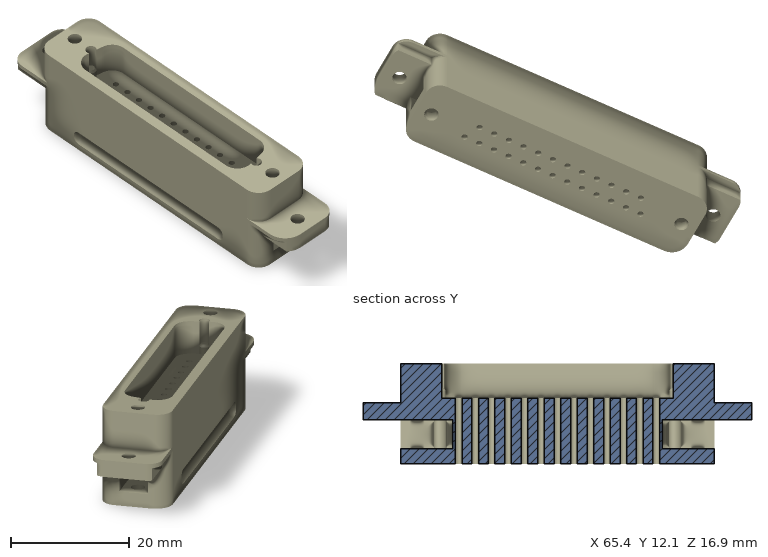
import cadquery as cq
import math

length = 65.4
depth = 12.05
height = 16.9
body_length = 52.75

corner_radius = 2.6
upper_front_right_radius = 2.8
lower_front_left_radius = 3.0
flange_front_left_radius = 2.5
flange_front_right_radius = 3.65

flange_top = 10.35
plate_thickness = 0.8
plate_bottom = flange_top - plate_thickness
lip_bottom = 7.3
lip_width = 9.55

socket_depth = 5.8
socket_floor = height - socket_depth
socket_width = 8.45
socket_mid_half_length = 19.25
socket_side_angle = 10.0
socket_corner_radius = 2.7

front_row_length = 33.25
row_spacing = 2.8
contact_diameter = 1.05
back_row_count = 12
front_row_count = 13
contact_pitch = front_row_length / (front_row_count - 1)

screw_hole_diameter = 2.4
body_hole_x = 23.6
flange_hole_x = 29.65

post_x = 19.75
post_diameter = 2.1
notch_diameter = 1.9
post_shoulder_height = 1.3
post_tip_height = 0.4
post_tip_diameter = 1.25

recess_width = 5.05
recess_bottom = 2.55
recess_top = lip_bottom

groove_length = 35.6
groove_height = 2.6
groove_center_z = 2.55
groove_depth = 1.0
groove_corner_radius = 1.2
groove_floor_fillet = 0.85


def cylinder(x, y, diameter, bottom, top):
    """Upright cylinder between two heights."""
    return cq.Workplane("XY", origin=(x, y, bottom)).circle(diameter / 2).extrude(top - bottom)


def rounded_block(block_length, bottom, top, front_left=corner_radius, front_right=corner_radius):
    """Full-depth block with rounded upright corners; the front corners may differ."""
    block = cq.Workplane("XY", origin=(0, 0, bottom)).rect(block_length, depth).extrude(top - bottom)
    block = block.edges("|Z and >Y").fillet(corner_radius)
    block = block.edges("|Z and <Y and <X").fillet(front_left)
    return block.edges("|Z and <Y and >X").fillet(front_right)


def flange_outline(bottom, top):
    return rounded_block(length, bottom, top, flange_front_left_radius, flange_front_right_radius)


def make_housing():
    lower = rounded_block(body_length, 0, flange_top, front_left=lower_front_left_radius)
    upper = rounded_block(body_length, plate_bottom, height, front_right=upper_front_right_radius)
    plate = flange_outline(plate_bottom, flange_top)
    lip_strip = cq.Workplane("XY", origin=(0, 0, lip_bottom)).rect(length, lip_width)
    lip = flange_outline(lip_bottom, flange_top).intersect(lip_strip.extrude(flange_top - lip_bottom))
    return lower.union(upper).union(plate).union(lip)


def make_socket():
    half_width = socket_width / 2
    side_shift = half_width * math.tan(math.radians(socket_side_angle))
    front_x = socket_mid_half_length + side_shift
    back_x = socket_mid_half_length - side_shift
    corners = [(-front_x, -half_width), (front_x, -half_width), (back_x, half_width), (-back_x, half_width)]
    outline = cq.Workplane("XY", origin=(0, 0, socket_floor)).polyline(corners).close()
    return outline.extrude(socket_depth).edges("|Z").fillet(socket_corner_radius)


def make_contact_holes():
    holes = cq.Workplane("XY")
    for y, count in ((row_spacing / 2, back_row_count), (-row_spacing / 2, front_row_count)):
        row = cq.Workplane("XY").center(0, y).rarray(contact_pitch, 0.65, count, 1)
        holes = holes.add(row.circle(contact_diameter / 2).extrude(height))
    return holes


def make_end_recess(side):
    """Slot from one body end (side = -1 or 1) to a round end centred on the post."""
    recess_height = recess_top - recess_bottom
    run = body_length / 2 - post_x
    slot = cq.Workplane("XY", origin=(side * (post_x + run / 2), 0, recess_bottom))
    slot = slot.rect(run, recess_width).extrude(recess_height)
    return slot.union(cylinder(side * post_x, 0, recess_width, recess_bottom, recess_top))


def make_post(side):
    shank = cylinder(side * post_x, 0, post_diameter, recess_bottom, socket_floor)
    shoulder_z = socket_floor + post_shoulder_height
    shoulder = cylinder(side * post_x, 0, notch_diameter, socket_floor, shoulder_z)
    tip = cq.Workplane("XY", origin=(side * post_x, 0, shoulder_z)).circle(notch_diameter / 2)
    tip = tip.workplane(offset=post_tip_height).circle(post_tip_diameter / 2).loft()
    return shank.union(shoulder).union(tip)


def make_groove():
    front = cq.Workplane("XZ", origin=(0, -depth / 2, groove_center_z))
    groove = front.rect(groove_length, groove_height).extrude(-groove_depth)
    groove = groove.edges("|Y").fillet(groove_corner_radius)
    return groove.faces(">Y").edges().fillet(groove_floor_fillet)


result = make_housing().cut(make_socket()).cut(make_groove())
for hole in make_contact_holes().vals():
    result = result.cut(hole)
for side in (-1, 1):
    result = result.cut(make_end_recess(side))
    result = result.cut(cylinder(side * post_x, 0, notch_diameter, socket_floor, height))
    result = result.union(make_post(side))
    for hole_x in (body_hole_x, flange_hole_x):
        result = result.cut(cylinder(side * hole_x, 0, screw_hole_diameter, 0, height))